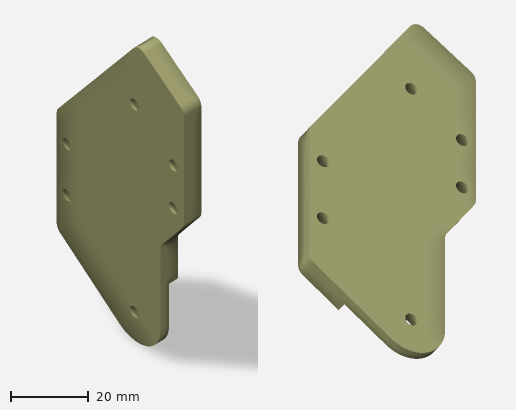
import cadquery as cq
import math

thickness = 6.0
left_reach = 30.0
right_reach = 19.0
tail_radius = 10.0
top_height = 94.0
corner_radius = 3.0
hole_diameter = 3.5

steep_angle = math.radians(55)
shoulder_angle = math.radians(33.2)
waist_angle = math.radians(55.5)
tail_angle = math.radians(35)

upper_left_height = 50.3
waist_height = 30.2

relief_radius = 18.0
tail_thickness = thickness / 2

upper_hole_height = 73.0
right_hole_x = 15.0
right_hole_heights = (47.0, 62.0)
left_hole_x = -26.0
left_hole_heights = (23.0, 41.0)

peak_arc_height = top_height - corner_radius
steep_offset = corner_radius / math.cos(steep_angle)
shoulder_offset = corner_radius / math.cos(shoulder_angle)
steep_slope = math.tan(steep_angle)
shoulder_slope = math.tan(shoulder_angle)
peak_arc_x = -left_reach + (peak_arc_height + steep_offset - upper_left_height) / steep_slope
peak_x = peak_arc_x + (shoulder_offset - steep_offset) / (steep_slope + shoulder_slope)
peak_height = upper_left_height + (peak_x + left_reach) * steep_slope
shoulder_height = peak_height - (right_reach - peak_x) * shoulder_slope
right_bottom_height = waist_height + (right_reach - tail_radius) * math.tan(waist_angle)

tangent_x = -tail_radius * math.sin(tail_angle)
tangent_height = -tail_radius * math.cos(tail_angle)
lower_left_height = tangent_height + (tangent_x + left_reach) * math.tan(tail_angle)
arc_middle_angle = (math.pi / 2 - tail_angle) / 2
arc_middle = (tail_radius * math.sin(arc_middle_angle), -tail_radius * math.cos(arc_middle_angle))

rounded_corners = [
    (-left_reach, lower_left_height),
    (-left_reach, upper_left_height),
    (peak_x, peak_height),
    (right_reach, shoulder_height),
    (right_reach, right_bottom_height),
    (tail_radius, waist_height),
]


def round_corner(plate, corner):
    """Round the edge that runs through the thickness at one outline corner."""
    x, z = corner
    nearest = cq.selectors.NearestToPointSelector((x, thickness / 2, z))
    return plate.edges("|Y").edges(nearest).fillet(corner_radius)


def make_plate():
    """Full-thickness plate with rounded corners and a round tail."""
    plate = (
        cq.Workplane("XZ")
        .moveTo(tangent_x, tangent_height)
        .polyline(rounded_corners, includeCurrent=True)
        .lineTo(tail_radius, 0)
        .threePointArc(arc_middle, (tangent_x, tangent_height))
        .close()
        .extrude(-thickness)
    )
    for corner in rounded_corners:
        plate = round_corner(plate, corner)
    return plate


def make_tail_relief():
    """Disc that thins the tail from the rear face, leaving room around the tail hole."""
    disc = cq.Workplane("XZ").circle(relief_radius).extrude(-tail_thickness)
    return disc.translate((0, thickness - tail_thickness, 0))


def make_holes():
    """Pins for all the through holes."""
    centers = [(0, 0), (0, upper_hole_height)]
    centers += [(right_hole_x, height) for height in right_hole_heights]
    centers += [(left_hole_x, height) for height in left_hole_heights]
    return cq.Workplane("XZ").pushPoints(centers).circle(hole_diameter / 2).extrude(-thickness)


result = make_plate().cut(make_tail_relief()).cut(make_holes())